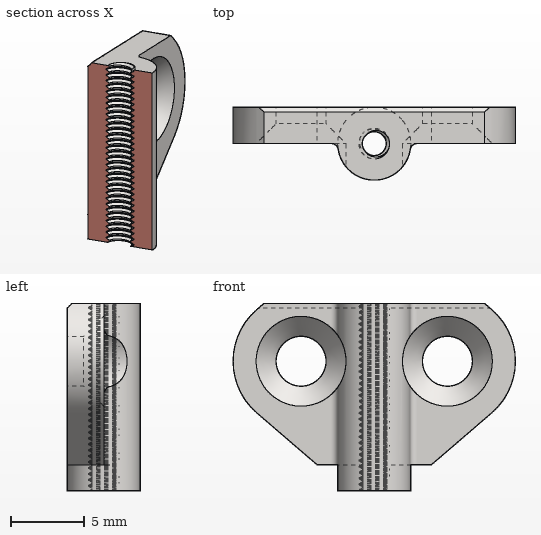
import cadquery as cq
import math

overall_width = 19.27
overall_height = 12.8
barrel_diameter = 5.0
barrel_overhang = 1.77
corner_fillet = 0.46
screw_offset = 5.0
screw_height = 8.85
screw_diameter = 3.4
head_diameter = 6.13
countersink_angle = 90.0
flank_angle = 40.7
back_chamfer = 0.33
bore_diameter = 1.62
thread_pitch = 0.4
thread_depth = 0.23
thread_flank_angle = 30.0
bore_seam_angle = 137.0
thread_root_width = 0.04

barrel_radius = barrel_diameter / 2
plate_thickness = barrel_radius
lobe_radius = overall_width / 2 - screw_offset
head_radius = head_diameter / 2
screw_radius = screw_diameter / 2
bore_radius = bore_diameter / 2


def make_plate():
    """Plate with a round lobe at each end and straight sides tangent to the lobes."""
    slope = math.radians(flank_angle)
    tangent_x = screw_offset + lobe_radius * math.sin(slope)
    tangent_rise = lobe_radius * math.cos(slope)
    upper_z = screw_height + tangent_rise
    lower_z = screw_height - tangent_rise
    top_x = tangent_x - (overall_height - upper_z) / math.tan(slope)
    bottom_x = tangent_x - (lower_z - barrel_overhang) / math.tan(slope)
    return (
        cq.Workplane("XZ")
        .moveTo(-bottom_x, barrel_overhang)
        .lineTo(bottom_x, barrel_overhang)
        .lineTo(tangent_x, lower_z)
        .threePointArc((overall_width / 2, screw_height), (tangent_x, upper_z))
        .lineTo(top_x, overall_height)
        .lineTo(-top_x, overall_height)
        .lineTo(-tangent_x, upper_z)
        .threePointArc((-overall_width / 2, screw_height), (-tangent_x, lower_z))
        .close()
        .extrude(-plate_thickness)
    )


def make_corner_blend():
    """Barrel-to-plate web whose two sides are concave arcs tangent to both."""
    center_x = math.sqrt((barrel_radius + corner_fillet) ** 2 - corner_fillet**2)
    contact_ratio = barrel_radius / (barrel_radius + corner_fillet)
    contact_x = center_x * contact_ratio
    contact_y = -corner_fillet * contact_ratio
    mid_angle = (math.pi / 2 + math.atan2(contact_y + corner_fillet, contact_x - center_x)) / 2
    mid_x = center_x + corner_fillet * math.cos(mid_angle)
    mid_y = -corner_fillet + corner_fillet * math.sin(mid_angle)
    return (
        cq.Workplane("XY", origin=(0, 0, barrel_overhang))
        .moveTo(-center_x, 0)
        .lineTo(center_x, 0)
        .threePointArc((mid_x, mid_y), (contact_x, contact_y))
        .lineTo(-contact_x, contact_y)
        .threePointArc((-mid_x, mid_y), (-center_x, 0))
        .close()
        .extrude(overall_height - barrel_overhang)
    )


def make_screw_cutter(x):
    """Through hole, conical countersink, and straight head clearance into the barrel."""
    cone_depth = (head_radius - screw_radius) / math.tan(math.radians(countersink_angle / 2))
    profile = (
        cq.Workplane("XY")
        .moveTo(0, -barrel_radius)
        .lineTo(head_radius, -barrel_radius)
        .lineTo(head_radius, 0)
        .lineTo(screw_radius, cone_depth)
        .lineTo(screw_radius, plate_thickness)
        .lineTo(0, plate_thickness)
        .close()
    )
    return profile.revolve(360, (0, 0), (0, 1)).translate((x, 0, screw_height))


def make_threaded_bore_cutter():
    """Bore with a right-hand helical groove, deepest toward +X where it meets the top face."""
    turns_below_top = math.ceil(overall_height / thread_pitch) + 1
    helix_height = (turns_below_top + 1) * thread_pitch
    start_z = overall_height - turns_below_top * thread_pitch
    overlap = thread_depth / 4
    inner_radius = bore_radius - overlap
    root_radius = bore_radius + thread_depth
    root_half = thread_root_width / 2
    mouth_half = root_half + (root_radius - inner_radius) * math.tan(math.radians(thread_flank_angle))
    helix = cq.Wire.makeHelix(thread_pitch, helix_height, bore_radius)
    groove = (
        cq.Workplane("XZ")
        .polyline([
            (inner_radius, -mouth_half),
            (root_radius, -root_half),
            (root_radius, root_half),
            (inner_radius, mouth_half),
        ])
        .close()
        .sweep(cq.Workplane(obj=helix), isFrenet=True)
    )
    bore = (
        cq.Workplane("XY", origin=(0, 0, -thread_pitch))
        .circle(bore_radius)
        .extrude(helix_height + 2 * thread_pitch)
        .rotate((0, 0, 0), (0, 0, 1), bore_seam_angle)
    )
    return bore.union(groove).translate((0, 0, start_z))


def make_back_chamfer_cutter():
    """Wedge that bevels the top rear edge along the full width."""
    return (
        cq.Workplane("YZ", origin=(-overall_width / 2, 0, 0))
        .moveTo(plate_thickness, overall_height)
        .lineTo(plate_thickness - back_chamfer, overall_height)
        .lineTo(plate_thickness, overall_height - back_chamfer)
        .close()
        .extrude(overall_width)
    )


barrel = cq.Workplane("XY").circle(barrel_radius).extrude(overall_height)
result = barrel.union(make_plate()).union(make_corner_blend())
for side in (-1, 1):
    result = result.cut(make_screw_cutter(side * screw_offset))
result = result.cut(make_back_chamfer_cutter())
result = result.cut(make_threaded_bore_cutter()).solids()